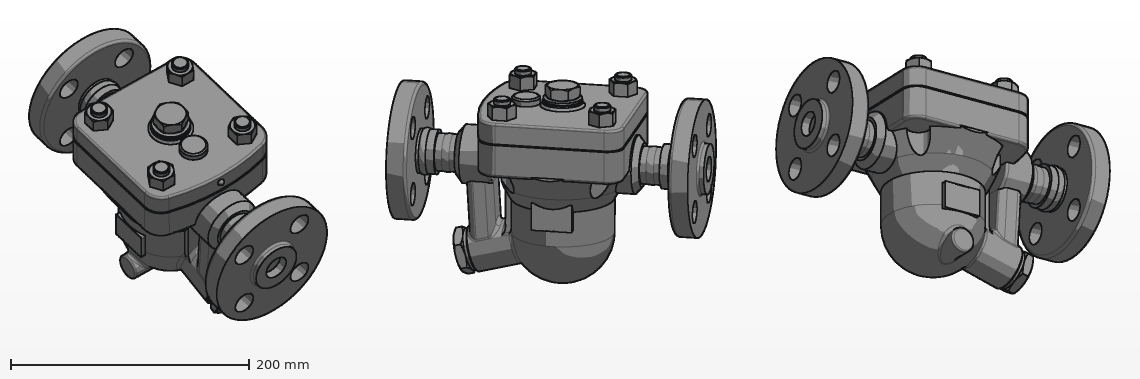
import cadquery as cq
import math


face_to_face = 271.0
line_center_x = 10.0
inlet_x = line_center_x - face_to_face / 2
outlet_x = line_center_x + face_to_face / 2
bore_radius = 21.0 / 2
bore_depth = 8.0

flange_radius = 117.0 / 2
raised_face_radius = 42.9 / 2
raised_face_height = 6.0
raised_face_fillet = 2.0
flange_back = 23.1
flange_back_fillet = 2.5
bolt_circle = 82.6
bolt_hole_diameter = 19.0
bolt_hole_count = 4

hub_radius = 38.0 / 2
hub_end = 38.7
pipe_radius = 32.0 / 2
pipe_end = 56.3
cone_start_radius = 18.7
neck_radius = 50.0 / 2
neck_start = 61.6
hub_bead_start = 25.5
hub_bead_end = 31.5
hub_bead_radius = 40.0 / 2
pipe_bead_start = 44.5
pipe_bead_end = 51.0
pipe_bead_radius = 33.0 / 2

block_half_width = 62.5
block_left_x = -62.5
block_nose_x = 68.8
block_draft_nose_x = 67.6
block_corner_radius = 14.0
bow_corner_radius = 17.5
corner_center_x = 45.0
block_bottom_z = 0.6
joint_z = 29.7
gasket_height = 1.0
gasket_inset = 0.4
cover_top_z = 48.4
cover_fillet = 2.0
block_fillet = 2.5

stud_offset = 43.0
stud_radius = 14.0 / 2
stud_top_z = 64.8
stud_chamfer = 1.0
nut_across_flats = 21.0
nut_top_z = 60.3
nut_angle_along_x = 0.0
nut_angle_along_y = 30.0

hex_chamfer_angle = 30.0

plug_boss_radius = 38.0 / 2
plug_collar_radius = 33.0 / 2
plug_boss_top_radius = 17.0
plug_boss_shoulder_z = 50.9
plug_boss_top_z = 52.4
plug_groove_radius = 16.0
plug_groove_height = 0.5
plug_collar_top_z = 55.0
plug_hex_bottom_z = 55.8
plug_neck_radius = 14.0
plug_across_flats = 26.0
plug_top_z = 66.0
cap_x = 31.3
cap_radius = 24.0 / 2
cap_top_z = 54.6
cap_chamfer = 1.5
button_radius = 3.0
button_z = 40.4

bowl_radius = 44.0
bowl_center_z = -62.6
flare_bottom_z = -32.4
flare_middle_z = -18.7
flare_middle_radius = 51.7
flare_top_z = 3.0
flare_top_radius = 64.0
nut_scoop_radius = 10.0
plate_width = 35.0
plate_height = 24.0
plate_front_y = -44.8
plate_front_center_z = -54.6
plate_back_y = 45.6
plate_back_center_z = -37.0
plate_thickness = 6.0
plate_corner_fillet = 1.0
drain_z = -92.6
drain_radius = 11.0
drain_end_y = -46.1
drain_end_fillet = 1.5
drain_root_fillet = 3.0

rib_face_x = 45.8
rib_half_width = 16.5
rib_bottom_z = -64.0
strainer_tilt = 15.0
strainer_radius = 40.0 / 2
pocket_root_fillet = 4.0
strainer_length = 79.3
strainer_end_chamfer = 1.0
strainer_collar_length = 82.5
strainer_collar_radius = 18.0
strainer_hex_end = 91.0
strainer_across_flats = 36.0
outlet_neck_start_x = 57.5
outlet_neck_fillet = 2.3
column_width = 22.5
column_thickness = 33.5
column_corner_radius = 6.0
column_tilt = 3.4
column_top_x = 69.9
column_length = 76.0
column_root_fillet = 3.0


def end_fitting():
    """Flange, welded stub pipe and neck cone along +X, end face at X = 0."""
    hub_bead_peak = ((hub_bead_start + hub_bead_end) / 2, hub_bead_radius)
    pipe_bead_peak = ((pipe_bead_start + pipe_bead_end) / 2, pipe_bead_radius)
    profile = (
        cq.Workplane("XY")
        .moveTo(0, 0)
        .lineTo(0, raised_face_radius)
        .lineTo(raised_face_height - raised_face_fillet, raised_face_radius)
        .radiusArc((raised_face_height, raised_face_radius + raised_face_fillet), -raised_face_fillet)
        .lineTo(raised_face_height, flange_radius)
        .lineTo(flange_back - flange_back_fillet, flange_radius)
        .radiusArc((flange_back, flange_radius - flange_back_fillet), flange_back_fillet)
        .lineTo(flange_back, hub_radius)
        .lineTo(hub_bead_start, hub_radius)
        .threePointArc(hub_bead_peak, (hub_bead_end, hub_radius))
        .lineTo(hub_end, hub_radius)
        .lineTo(hub_end, pipe_radius)
        .lineTo(pipe_bead_start, pipe_radius)
        .threePointArc(pipe_bead_peak, (pipe_bead_end, pipe_radius))
        .lineTo(pipe_end, pipe_radius)
        .lineTo(pipe_end, cone_start_radius)
        .lineTo(neck_start, neck_radius)
        .lineTo(neck_start, 0)
        .close()
    )
    fitting = profile.revolve(360, (0, 0, 0), (1, 0, 0))
    holes = (
        cq.Workplane("YZ")
        .polarArray(bolt_circle / 2, 180 / bolt_hole_count, 360, bolt_hole_count)
        .circle(bolt_hole_diameter / 2)
        .extrude(flange_back)
    )
    bore = cq.Workplane("YZ").circle(bore_radius).extrude(bore_depth)
    return fitting.cut(holes).cut(bore)


def x_cylinder(radius, start_x, end_x):
    return cq.Workplane("YZ").workplane(offset=start_x).circle(radius).extrude(end_x - start_x)


def block_outline(workplane, nose_x, inset=0.0):
    """Rounded square whose +X side is bowed; the bow is tangent to both corner arcs."""
    half_width = block_half_width - inset
    left_x = block_left_x + inset
    nose = nose_x - inset
    left_corner = block_corner_radius - inset
    left_center_y = half_width - left_corner
    bow_corner = bow_corner_radius - inset
    bow_center_y = half_width - bow_corner
    rise = nose - corner_center_x
    bow_radius = (rise ** 2 + bow_center_y ** 2 - bow_corner ** 2) / (2 * (rise - bow_corner))
    bow_angle = math.asin(bow_center_y / (bow_radius - bow_corner))
    tangent_x = corner_center_x + bow_corner * math.cos(bow_angle)
    tangent_y = bow_center_y + bow_corner * math.sin(bow_angle)
    return (
        workplane.moveTo(left_x + left_corner, half_width)
        .lineTo(corner_center_x, half_width)
        .radiusArc((tangent_x, tangent_y), bow_corner)
        .threePointArc((nose, 0), (tangent_x, -tangent_y))
        .radiusArc((corner_center_x, -half_width), bow_corner)
        .lineTo(left_x + left_corner, -half_width)
        .radiusArc((left_x, -left_center_y), left_corner)
        .lineTo(left_x, left_center_y)
        .radiusArc((left_x + left_corner, half_width), left_corner)
        .close()
    )


def body_block():
    """Drafted upper body with a rounded bottom rim."""
    bottom = block_outline(cq.Workplane("XY").workplane(offset=block_bottom_z), block_draft_nose_x)
    height = joint_z - gasket_height / 2 - block_bottom_z
    block = block_outline(bottom.workplane(offset=height), block_nose_x).loft(ruled=True)
    return block.faces("<Z").edges().fillet(block_fillet)


def cover():
    """Cover plate and the thin inset gasket that seals it to the body."""
    gasket_bottom = joint_z - gasket_height / 2
    gasket_top = joint_z + gasket_height / 2
    gasket_plane = cq.Workplane("XY").workplane(offset=gasket_bottom)
    gasket = block_outline(gasket_plane, block_nose_x, gasket_inset).extrude(gasket_height)
    cover_plane = cq.Workplane("XY").workplane(offset=gasket_top)
    plate = block_outline(cover_plane, block_nose_x).extrude(cover_top_z - gasket_top)
    return plate.faces(">Z").edges().fillet(cover_fillet).union(gasket)


def hexagon(across_flats, height, both_ends=False):
    """Hexagonal prism standing on Z = 0, corners on X, with its corners chamfered."""
    corner_radius = across_flats / math.sqrt(3)
    flat_radius = across_flats / 2
    drop = (corner_radius - flat_radius) * math.tan(math.radians(hex_chamfer_angle))
    bottom_radius = flat_radius if both_ends else corner_radius
    bottom_drop = drop if both_ends else drop / 2
    envelope = (
        cq.Workplane("XZ")
        .moveTo(0, 0)
        .lineTo(bottom_radius, 0)
        .lineTo(corner_radius, bottom_drop)
        .lineTo(corner_radius, height - drop)
        .lineTo(flat_radius, height)
        .lineTo(0, height)
        .close()
        .revolve(360, (0, 0, 0), (0, 1, 0))
    )
    return cq.Workplane("XY").polygon(6, 2 * corner_radius).extrude(height).intersect(envelope)


def stud_and_nut(x, y, angle):
    nut = hexagon(nut_across_flats, nut_top_z - cover_top_z)
    stud = cq.Workplane("XY").circle(stud_radius).extrude(stud_top_z - cover_top_z)
    stud = stud.faces(">Z").edges().chamfer(stud_chamfer)
    return nut.union(stud).rotate((0, 0, 0), (0, 0, 1), angle).translate((x, y, cover_top_z))


def cover_plug():
    """Hexagon-headed plug on a flared boss in the middle of the cover."""
    collar = (
        cq.Workplane("XZ")
        .moveTo(0, cover_top_z)
        .lineTo(plug_boss_radius, cover_top_z)
        .lineTo(plug_boss_top_radius, plug_boss_shoulder_z)
        .lineTo(plug_boss_top_radius, plug_boss_top_z)
        .lineTo(plug_groove_radius, plug_boss_top_z)
        .lineTo(plug_groove_radius, plug_boss_top_z + plug_groove_height)
        .lineTo(plug_collar_radius, plug_boss_top_z + plug_groove_height)
        .lineTo(plug_collar_radius, plug_collar_top_z)
        .lineTo(plug_neck_radius, plug_hex_bottom_z)
        .lineTo(0, plug_hex_bottom_z)
        .close()
        .revolve(360, (0, 0, 0), (0, 1, 0))
    )
    head = hexagon(plug_across_flats, plug_top_z - plug_hex_bottom_z, both_ends=True)
    return collar.union(head.translate((0, 0, plug_hex_bottom_z)))


def cover_cap():
    cap = cq.Workplane("XY").workplane(offset=cover_top_z).center(cap_x, 0).circle(cap_radius)
    return cap.extrude(cap_top_z - cover_top_z).faces(">Z").edges().chamfer(cap_chamfer)


def bowl():
    """Round-bottomed bowl flaring into the body block, relieved below the studs and along the rib face."""
    shell = (
        cq.Workplane("XZ")
        .moveTo(0, bowl_center_z - bowl_radius)
        .radiusArc((bowl_radius, bowl_center_z), -bowl_radius)
        .lineTo(bowl_radius, flare_bottom_z)
        .lineTo(flare_middle_radius, flare_middle_z)
        .lineTo(flare_top_radius, flare_top_z)
        .lineTo(0, flare_top_z)
        .close()
        .revolve(360, (0, 0, 0), (0, 1, 0))
    )
    scoops = (
        cq.Workplane("XY")
        .workplane(offset=flare_bottom_z)
        .rect(2 * stud_offset, 2 * stud_offset, forConstruction=True)
        .vertices()
        .circle(nut_scoop_radius)
        .extrude(flare_top_z - flare_bottom_z)
    )
    clearance = cq.Workplane("XY").box(
        flare_top_radius, 2 * flare_top_radius, flare_top_z - flare_bottom_z, centered=(False, True, False)
    ).translate((rib_face_x, 0, flare_bottom_z))
    rib = cq.Workplane("XY").box(
        rib_face_x, 2 * rib_half_width, -rib_bottom_z, centered=(False, True, False)
    ).translate((0, 0, rib_bottom_z))
    limits = cq.Workplane("XY").box(face_to_face, 2 * block_half_width, face_to_face)
    return shell.cut(scoops).cut(clearance).union(rib).intersect(limits)


def name_plate(outer_y, center_z):
    """Flat pad on the bowl wall with its outer face at outer_y."""
    center_y = outer_y - math.copysign(plate_thickness / 2, outer_y)
    pad = cq.Workplane("XY").box(plate_width, plate_thickness, plate_height)
    return pad.edges("|Y").fillet(plate_corner_fillet).translate((0, center_y, center_z))


def drain_boss():
    boss = cq.Workplane("XZ").center(0, drain_z).circle(drain_radius).extrude(-drain_end_y)
    return boss.faces("<Y").edges().fillet(drain_end_fillet)


def strainer_placed(solid):
    """Tip a solid built along +Z onto the strainer axis, which runs through the bowl centre."""
    return solid.rotate((0, 0, 0), (0, 1, 0), 90 + strainer_tilt).translate((0, 0, bowl_center_z))


def strainer_pocket():
    pocket = cq.Workplane("XY").circle(strainer_radius).extrude(strainer_length)
    return strainer_placed(pocket.faces(">Z").edges().chamfer(strainer_end_chamfer))


def strainer_cap():
    """Collar and hexagon cap that close the strainer pocket."""
    collar = cq.Workplane("XY").workplane(offset=strainer_length).circle(strainer_collar_radius)
    collar = collar.extrude(strainer_collar_length - strainer_length)
    cap = hexagon(strainer_across_flats, strainer_hex_end - strainer_collar_length, both_ends=True)
    return strainer_placed(collar.union(cap.translate((0, 0, strainer_collar_length))))


def outlet_column():
    """Leaning flat-sided column joining the strainer pocket to the outlet neck."""
    column = cq.Workplane("XY").rect(column_width, column_thickness).extrude(-column_length)
    column = column.edges("|Z").fillet(column_corner_radius)
    return column.rotate((0, 0, 0), (0, 1, 0), column_tilt).translate((column_top_x, 0, 0))


def edges_within(solid, low_corner, high_corner):
    return solid.edges(cq.selectors.BoxSelector(low_corner, high_corner, boundingbox=True))


def lower_body():
    """Bowl with its drain boss, strainer pocket and column, each blended at its root."""
    bowl_bottom_z = bowl_center_z - bowl_radius
    pocket_end_x = strainer_length * math.cos(math.radians(strainer_tilt))
    margin = 1.0

    body = bowl().union(drain_boss())
    root_reach = drain_radius + margin
    drain_root = edges_within(
        body,
        (-root_reach, -bowl_radius, bowl_bottom_z),
        (root_reach, 0, drain_z + root_reach),
    )
    body = drain_root.fillet(drain_root_fillet)

    body = body.union(strainer_pocket())
    root_reach = strainer_radius + margin
    joint_angle = math.radians(strainer_tilt) + math.asin(strainer_radius / bowl_radius)
    joint_low_x = bowl_radius * math.cos(joint_angle)
    joint_low_z = bowl_center_z - bowl_radius * math.sin(joint_angle)
    pocket_root = edges_within(
        body,
        (joint_low_x - margin, -root_reach, joint_low_z - margin),
        (rib_face_x + margin, root_reach, bowl_center_z + strainer_radius / 2),
    )
    body = pocket_root.fillet(pocket_root_fillet)

    body = body.union(outlet_column())
    root_reach = column_thickness / 2 + margin
    column_root = edges_within(
        body,
        (rib_face_x + pocket_root_fillet, -root_reach, bowl_center_z - strainer_radius / 2),
        (pocket_end_x + pocket_root_fillet, root_reach, bowl_center_z + strainer_radius / 2),
    )
    return column_root.fillet(column_root_fillet)


def build():
    inlet = end_fitting().translate((inlet_x, 0, 0))
    outlet = end_fitting().rotate((0, 0, 0), (0, 0, 1), 180).translate((outlet_x, 0, 0))
    part = body_block().union(lower_body())
    part = part.union(x_cylinder(neck_radius, inlet_x + neck_start, 0))
    outlet_neck = x_cylinder(neck_radius, outlet_neck_start_x, outlet_x - neck_start)
    part = part.union(outlet_neck.faces("<X").edges().fillet(outlet_neck_fillet))
    part = part.union(strainer_cap())
    part = part.union(name_plate(plate_front_y, plate_front_center_z))
    part = part.union(name_plate(plate_back_y, plate_back_center_z))
    part = part.union(cover()).union(cover_plug()).union(cover_cap())
    for side_x in (-1, 1):
        for side_y in (-1, 1):
            angle = nut_angle_along_y if side_x == -side_y else nut_angle_along_x
            part = part.union(stud_and_nut(side_x * stud_offset, side_y * stud_offset, angle))
    button = cq.Workplane("XY").sphere(button_radius).translate((block_nose_x, 0, button_z))
    return part.union(button).union(inlet).union(outlet)


result = build()